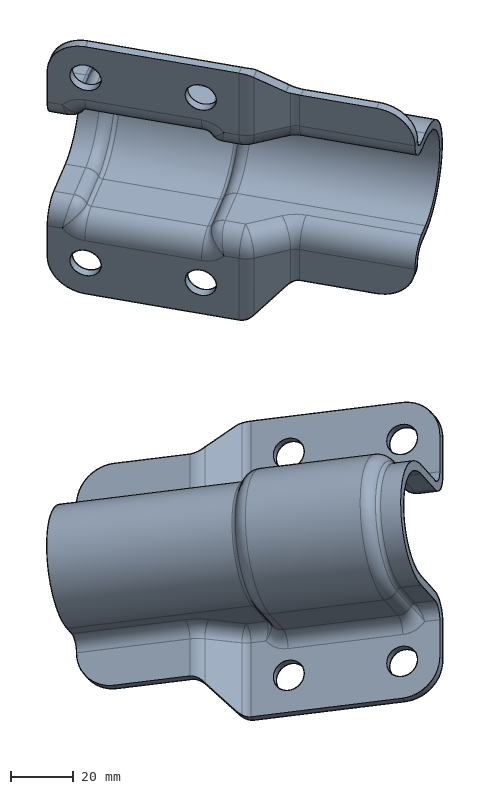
import cadquery as cq
import math

INCH = 25.4
TOLERANCE = 0.01

THICKNESS = INCH / 8
BEND_TIGHT = 3 * INCH / 16
BEND_WIDE = BEND_TIGHT + THICKNESS
BULGE_BEND_TIGHT = INCH / 16
BULGE_BEND_WIDE = BULGE_BEND_TIGHT + THICKNESS

LENGTH = 119.08
DEPTH = 46.29
TUNNEL_RADIUS = 0.8125 * INCH
BULGE_INNER_RADIUS = 21
BULGE_RADIUS = BULGE_INNER_RADIUS + THICKNESS
AXIS_HEIGHT = DEPTH - BULGE_RADIUS
UNDERSIDE = -AXIS_HEIGHT
FLOOR = UNDERSIDE - INCH

FLANGE_HALF_WIDTH = 2 * INCH
TAB_HALF_WIDTH = 1.5 * INCH
CORNER_RADIUS = INCH / 2
TAPER_START = 2.6 * INCH
TAPER_BLEND = INCH / 4

JOGGLE_START = 2.5 * INCH
JOGGLE_RISE = 9.4
JOGGLE_ANGLE = math.radians(35)

HOLE_DIAMETER = 10.31
HOLE_X = (0.5 * INCH, 2 * INCH)
HOLE_Z = 1.5 * INCH

BULGE_CENTER = sum(HOLE_X) / 2
BULGE_HALF_FLAT = 19.3


def u_bar(radius, x_start, x_end):
    """Upright U-shaped bar along X: half-round top, straight legs down to the floor."""
    return (
        cq.Workplane("YZ", origin=(x_start, 0, 0))
        .moveTo(FLOOR, -radius)
        .lineTo(0, -radius)
        .threePointArc((radius, 0), (0, radius))
        .lineTo(FLOOR, radius)
        .close()
        .extrude(x_end - x_start)
    )


def flange_ground(top, lower_radius, upper_radius):
    """Block filling the space below one face of the flanges, its top following the joggle."""
    sine, cosine = math.sin(JOGGLE_ANGLE), math.cos(JOGGLE_ANGLE)
    half_sine, half_cosine = math.sin(JOGGLE_ANGLE / 2), math.cos(JOGGLE_ANGLE / 2)
    bend_rise = (lower_radius + upper_radius) * (1 - cosine)
    slope_run = (JOGGLE_RISE - bend_rise) * cosine / sine
    tab_top = top + JOGGLE_RISE
    slope_start = JOGGLE_START + lower_radius * sine
    slope_end = slope_start + slope_run
    tab_start = slope_end + upper_radius * sine
    lower_middle = (JOGGLE_START + lower_radius * half_sine, top + lower_radius * (1 - half_cosine))
    upper_middle = (tab_start - upper_radius * half_sine, tab_top - upper_radius * (1 - half_cosine))
    return (
        cq.Workplane("XY")
        .moveTo(0, FLOOR)
        .lineTo(0, top)
        .lineTo(JOGGLE_START, top)
        .threePointArc(lower_middle, (slope_start, top + lower_radius * (1 - cosine)))
        .lineTo(slope_end, tab_top - upper_radius * (1 - cosine))
        .threePointArc(upper_middle, (tab_start, tab_top))
        .lineTo(LENGTH, tab_top)
        .lineTo(LENGTH, FLOOR)
        .close()
        .extrude(FLANGE_HALF_WIDTH, both=True)
    )


def box_selector(x_range, y_range, z_range):
    """Selector for edges that lie wholly inside a box."""
    low, high = zip(x_range, y_range, z_range)
    return cq.selectors.BoxSelector(low, high, boundingbox=True)


def around(value):
    """Narrow range about a value."""
    return value - TOLERANCE, value + TOLERANCE


def tunnel_form(radius, ground, bend):
    """Tunnel on the flange ground, with the bend between them rounded."""
    form = ground.union(u_bar(radius, 0, LENGTH))
    heights = (FLOOR + TOLERANCE, -TOLERANCE)
    for side in (-1, 1):
        foot = box_selector((-TOLERANCE, LENGTH + TOLERANCE), heights, around(side * radius))
        form = form.edges(foot).fillet(bend)
    return form


def bulge_form(radius, flange_top, bend, crown_bend):
    """Round-ended bulge on a flat ground, with the bend between them rounded."""
    half_length = BULGE_HALF_FLAT + crown_bend
    x_range = (BULGE_CENTER - half_length, BULGE_CENTER + half_length)
    bulge = u_bar(radius, *x_range).edges("|Y or %CIRCLE").fillet(crown_bend)
    ground = (
        cq.Workplane("XY", origin=(0, FLOOR, 0))
        .rect(JOGGLE_START, flange_top - FLOOR, centered=False)
        .extrude(FLANGE_HALF_WIDTH, both=True)
    )
    edge_reach = radius + TOLERANCE
    foot = box_selector((TOLERANCE, JOGGLE_START - TOLERANCE), around(flange_top), (-edge_reach, edge_reach))
    return ground.union(bulge).edges(foot).fillet(bend)


def sheet_face_form(offset):
    """Everything below one face of the sheet, set in by offset from the outer face."""
    tunnel_radius = TUNNEL_RADIUS - offset
    bulge_radius = BULGE_RADIUS - offset
    flange_top = UNDERSIDE + THICKNESS - offset
    concave_bend = BEND_TIGHT + offset
    convex_bend = BEND_WIDE - offset
    crown_bend = BULGE_BEND_WIDE - offset
    neck_bend = BULGE_BEND_TIGHT + offset

    ground = flange_ground(flange_top, concave_bend, convex_bend)
    form = tunnel_form(tunnel_radius, ground, concave_bend)
    form = form.union(bulge_form(bulge_radius, flange_top, concave_bend, crown_bend))

    crown_drop = max(crown_bend - (bulge_radius - tunnel_radius), 0)
    half_seam = BULGE_HALF_FLAT + math.sqrt(crown_bend**2 - crown_drop**2)
    seam_reach = tunnel_radius + TOLERANCE
    for end in (-1, 1):
        seam = box_selector(
            around(BULGE_CENTER + end * half_seam),
            (UNDERSIDE, seam_reach),
            (-seam_reach, seam_reach),
        )
        form = form.edges(seam).fillet(neck_bend)
    return form


def outline_prism():
    """Outline of the part along Y, taller than the part."""
    taper_end = TAPER_START + FLANGE_HALF_WIDTH - TAB_HALF_WIDTH
    corners = [
        (0, FLANGE_HALF_WIDTH),
        (TAPER_START, FLANGE_HALF_WIDTH),
        (taper_end, TAB_HALF_WIDTH),
        (LENGTH, TAB_HALF_WIDTH),
    ]
    mirrored = [(x, -z) for x, z in reversed(corners)]
    prism = (
        cq.Workplane("XZ", origin=(0, DEPTH, 0))
        .polyline(corners + mirrored)
        .close()
        .extrude(2 * DEPTH)
    )
    prism = prism.edges("|Y").edges("<X or >X").fillet(CORNER_RADIUS)
    tapers = box_selector(
        (TAPER_START - TOLERANCE, taper_end + TOLERANCE),
        (-2 * DEPTH, 2 * DEPTH),
        (-LENGTH, LENGTH),
    )
    return prism.edges(tapers).edges("|Y").fillet(TAPER_BLEND)


def holes():
    """Cylinders for the four flange holes."""
    centers = [(x, side * HOLE_Z) for x in HOLE_X for side in (-1, 1)]
    return (
        cq.Workplane("XZ", origin=(0, UNDERSIDE + 2 * THICKNESS, 0))
        .pushPoints(centers)
        .circle(HOLE_DIAMETER / 2)
        .extrude(3 * THICKNESS)
    )


shell = sheet_face_form(0).cut(sheet_face_form(THICKNESS))
result = shell.intersect(outline_prism()).cut(holes())